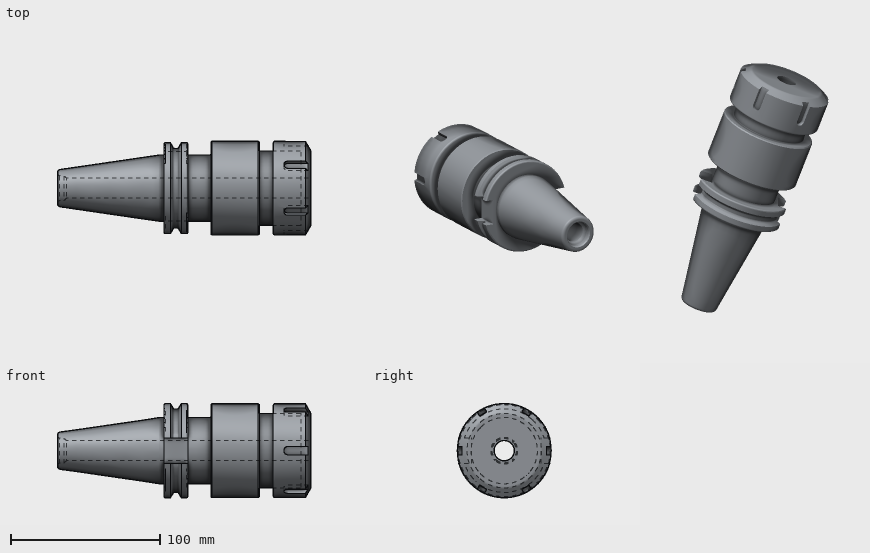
import cadquery as cq
import math

TAPER_END = 68.1
FLANGE_START = 71.3
FLANGE_END = 87.3
COLLAR_START = 102.8
COLLAR_END = 135.2
NUT_START = 144.5
OVERALL_LENGTH = 169.8

TAPER_RATIO = 7 / 24
NECK_DIAMETER = 44.5
FLANGE_DIAMETER = 63.4
GROOVE_DIAMETER = 56.0
GROOVE_CENTER = 79.3
GROOVE_FLOOR_WIDTH = 3.0
GROOVE_FLOOR_FILLET = 0.7
GROOVE_WALL_ANGLE = 30.0
FLANGE_FILLET = 1.0
COLLAR_DIAMETER = 63.0
COLLAR_CHAMFER = 0.7
NECK_FILLET = 0.5
NOSE_DIAMETER = 50.0
TIP_FILLET = 2.0

DRIVE_SLOT_WIDTH = 17.0
DRIVE_SLOT_FLOORS = ((1, 24.6), (-1, 22.0))

BORE_DIAMETER = 13.5
MOUTH_DIAMETER = 18.0
COUNTERBORE_DIAMETER = 16.8
COUNTERBORE_START = 1.2
COUNTERBORE_END = 2.7
THREAD_DIAMETER = 16.3
THREAD_START = 4.5
BORE_START = 6.1

NUT_DIAMETER = COLLAR_DIAMETER
NUT_BACK_FILLET = 1.4
NUT_CONE_START = 166.1
NUT_CONE_ANGLE = 30.0
NUT_FRONT_FILLET = 3.2
NUT_FRONT_WALL = 6.8

WRENCH_SLOT_COUNT = 6
WRENCH_SLOT_WIDTH = 5.6
WRENCH_SLOT_START = 151.7
WRENCH_SLOT_FLOOR = 28.4

NOSE_END = OVERALL_LENGTH - NUT_FRONT_WALL


def revolve_profile(points):
    """Revolve a closed (x, radius) outline about the X axis."""
    return cq.Workplane("XY").polyline(points).close().revolve(360, (0, 0, 0), (1, 0, 0))


def cylinder(start, end, diameter):
    return cq.Workplane("YZ", origin=(start, 0, 0)).circle(diameter / 2).extrude(end - start)


def make_shank():
    """Tapered shank and the necks up to the nose, with the axis filled solid."""
    big_radius = NECK_DIAMETER / 2
    tip_radius = big_radius - TAPER_END * TAPER_RATIO / 2
    taper = revolve_profile([(0, 0), (0, tip_radius), (TAPER_END, big_radius), (TAPER_END, 0)])
    taper = taper.faces("<X").edges().fillet(TIP_FILLET)
    neck = cylinder(TAPER_END, COLLAR_START, NECK_DIAMETER)
    nose = cylinder(COLLAR_END, NOSE_END, NOSE_DIAMETER)
    return taper.union(neck).union(nose)


def make_flange():
    """Gripper flange with its V groove, before the drive slots are cut."""
    flange = cylinder(FLANGE_START, FLANGE_END, FLANGE_DIAMETER).edges().fillet(FLANGE_FILLET)
    outer, floor = FLANGE_DIAMETER / 2, GROOVE_DIAMETER / 2
    floor_half = GROOVE_FLOOR_WIDTH / 2
    mouth_half = floor_half + (outer - floor) * math.tan(math.radians(GROOVE_WALL_ANGLE))
    groove = revolve_profile([
        (GROOVE_CENTER - floor_half, floor),
        (GROOVE_CENTER + floor_half, floor),
        (GROOVE_CENTER + mouth_half, outer),
        (GROOVE_CENTER - mouth_half, outer),
    ])
    floor_edges = cq.selectors.RadiusNthSelector(0)
    return flange.cut(groove.edges(floor_edges).fillet(GROOVE_FLOOR_FILLET))


def make_drive_slot(side, floor):
    """Block that cuts one drive slot, from its floor out past the flange rim."""
    length = FLANGE_END - FLANGE_START
    depth = FLANGE_DIAMETER / 2 - floor
    center_x = (FLANGE_START + FLANGE_END) / 2
    return cq.Workplane("XY").box(length, depth, DRIVE_SLOT_WIDTH).translate(
        (center_x, side * (floor + depth / 2), 0)
    )


def make_collar():
    return cylinder(COLLAR_START, COLLAR_END, COLLAR_DIAMETER).edges().chamfer(COLLAR_CHAMFER)


def make_neck_fillet(collar_face, direction, diameter):
    """Concave ring that blends a neck into a collar face; direction points away from the collar."""
    radius = diameter / 2
    far_x = collar_face + direction * NECK_FILLET
    outer = radius + NECK_FILLET
    diagonal = NECK_FILLET * (1 - math.sqrt(0.5))
    return (
        cq.Workplane("XY")
        .moveTo(collar_face, radius - NECK_FILLET)
        .lineTo(collar_face, outer)
        .threePointArc((collar_face + direction * diagonal, radius + diagonal), (far_x, radius))
        .lineTo(far_x, radius - NECK_FILLET)
        .close()
        .revolve(360, (0, 0, 0), (1, 0, 0))
    )


def make_bore():
    """Through bore whose mouth narrows in cones from the tip face."""
    return revolve_profile([
        (0, 0),
        (0, MOUTH_DIAMETER / 2),
        (COUNTERBORE_START, COUNTERBORE_DIAMETER / 2),
        (COUNTERBORE_END, COUNTERBORE_DIAMETER / 2),
        (THREAD_START, THREAD_DIAMETER / 2),
        (BORE_START, BORE_DIAMETER / 2),
        (OVERALL_LENGTH, BORE_DIAMETER / 2),
        (OVERALL_LENGTH, 0),
    ])


def make_holder():
    holder = make_shank().union(make_flange())
    for side, floor in DRIVE_SLOT_FLOORS:
        holder = holder.cut(make_drive_slot(side, floor))
    holder = holder.union(make_collar())
    holder = holder.union(make_neck_fillet(COLLAR_START, -1, NECK_DIAMETER))
    holder = holder.union(make_neck_fillet(COLLAR_END, 1, NOSE_DIAMETER))
    return holder.cut(make_bore())


def make_wrench_slot():
    """Round-ended slot cutter on the -Y side, open toward the front of the nut."""
    half = WRENCH_SLOT_WIDTH / 2
    arc_center = WRENCH_SLOT_START + half
    return (
        cq.Workplane("XZ", origin=(0, -WRENCH_SLOT_FLOOR, 0))
        .moveTo(OVERALL_LENGTH, -half)
        .lineTo(arc_center, -half)
        .threePointArc((WRENCH_SLOT_START, 0), (arc_center, half))
        .lineTo(OVERALL_LENGTH, half)
        .close()
        .extrude(NUT_DIAMETER / 2)
    )


def make_nut():
    """Slotted clamping nut that fits over the nose of the holder."""
    radius = NUT_DIAMETER / 2
    cone_length = OVERALL_LENGTH - NUT_CONE_START
    front_radius = radius - cone_length / math.tan(math.radians(NUT_CONE_ANGLE))
    nut = revolve_profile([
        (NUT_START, 0),
        (NUT_START, radius),
        (NUT_CONE_START, radius),
        (OVERALL_LENGTH, front_radius),
        (OVERALL_LENGTH, 0),
    ])
    nut = nut.faces("<X").edges().fillet(NUT_BACK_FILLET)
    nut = nut.faces(">X").edges().fillet(NUT_FRONT_FILLET)
    slot = make_wrench_slot()
    for index in range(WRENCH_SLOT_COUNT):
        nut = nut.cut(slot.rotate((0, 0, 0), (1, 0, 0), index * 360 / WRENCH_SLOT_COUNT))
    nut = nut.cut(cylinder(NUT_START, NOSE_END, NOSE_DIAMETER))
    return nut.cut(cylinder(NOSE_END, OVERALL_LENGTH, BORE_DIAMETER))


holder = make_holder()
nut = make_nut()

result = cq.Compound.makeCompound([holder.val(), nut.val()])